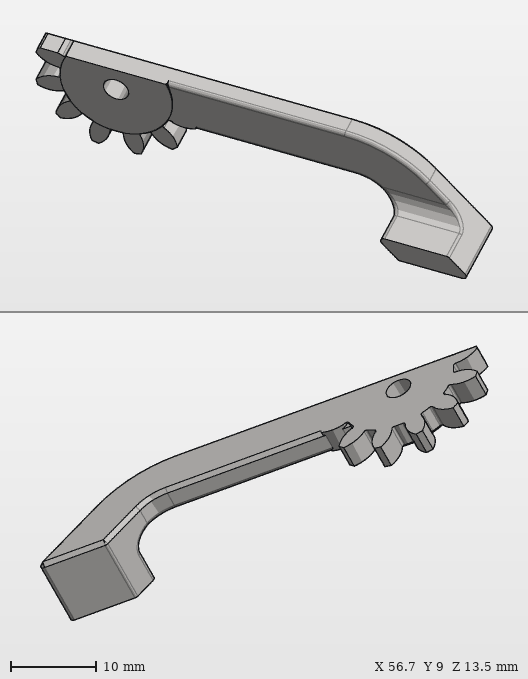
import cadquery as cq
import math

hub_radius = 7.1
hub_thickness = 3.2
hole_diameter = 3.2

root_radius = 7.15
tip_radius = 10.45
tooth_pitch = 30.0
first_tooth_angle = 165.0
tooth_count = 7
root_half_width = 1.0
middle_half_width = 1.165
tip_half_width = 0.425
middle_radius = 8.75
tooth_overlap = 0.35
root_fillet = 0.3

arm_half_height = 3.25
arm_thickness = 3.0
bend_angle = math.radians(45)
outer_bend_radius = 15.0
inner_bend_radius = 5.0
inner_bend_start = 30.15
tip_x = 46.5
bottom_z = -9.0

lug_reach = 9.0
lug_thickness = 3.0
lug_fillet = 2.0
lug_top_z = bottom_z + lug_thickness

edge_fillet = 0.5
back_chamfer = 0.5

select_margin = 0.05

tip_setback = edge_fillet * (1 / math.tan(bend_angle / 2) - 1)
sharp_tip_x = tip_x + tip_setback


def bend_point(start_x, start_z, radius, angle):
    """Point on an arc that leaves the level arm and turns downward by angle."""
    return (start_x + radius * math.sin(angle), start_z - radius * (1 - math.cos(angle)))


def slope_x(point, z):
    """X where the sloping line through point reaches height z."""
    return point[0] + (point[1] - z) / math.tan(bend_angle)


def arm_outline():
    slope_run = (arm_half_height - bottom_z) / math.tan(bend_angle)
    bend_tangent = outer_bend_radius * math.tan(bend_angle / 2)
    outer_start = sharp_tip_x - slope_run - bend_tangent
    top, bottom = arm_half_height, -arm_half_height
    outer_end = bend_point(outer_start, top, outer_bend_radius, bend_angle)
    outer_mid = bend_point(outer_start, top, outer_bend_radius, bend_angle / 2)
    inner_end = bend_point(inner_bend_start, bottom, inner_bend_radius, bend_angle)
    inner_mid = bend_point(inner_bend_start, bottom, inner_bend_radius, bend_angle / 2)
    return (
        cq.Workplane("XZ")
        .moveTo(0, top)
        .lineTo(outer_start, top)
        .threePointArc(outer_mid, outer_end)
        .lineTo(sharp_tip_x, bottom_z)
        .lineTo(slope_x(inner_end, bottom_z), bottom_z)
        .lineTo(*inner_end)
        .threePointArc(inner_mid, (inner_bend_start, bottom))
        .lineTo(0, bottom)
        .close()
    )


def box_between(low, high):
    size = [b - a for a, b in zip(low, high)]
    return cq.Workplane("XY").box(*size, centered=False).translate(low)


def make_arm():
    body = arm_outline().extrude(lug_reach)
    clearance = box_between(
        (0, -lug_reach, lug_top_z), (sharp_tip_x, -arm_thickness, arm_half_height)
    )
    body = body.cut(clearance)
    body = body.edges("|Y").edges("<Z or >X").fillet(edge_fillet)
    inside_corner = cq.selectors.NearestToPointSelector(
        (sharp_tip_x - lug_reach, -arm_thickness, lug_top_z)
    )
    body = body.edges("|X").edges(inside_corner).fillet(lug_fillet)
    front_edges = body.edges("|X").edges(
        cq.selectors.BoxSelector(
            (0, -arm_thickness - select_margin, -arm_half_height - select_margin),
            (sharp_tip_x, -arm_thickness + select_margin, arm_half_height + select_margin),
        )
    )
    body = front_edges.fillet(edge_fillet)
    return body.faces(">Y").edges("|X").edges(">Z").chamfer(back_chamfer)


def make_tooth(angle):
    base_radius = root_radius - tooth_overlap
    foot_radius = math.sqrt(root_radius**2 - root_half_width**2)
    tooth = (
        cq.Workplane("XZ")
        .moveTo(base_radius, -root_half_width)
        .lineTo(foot_radius, -root_half_width)
        .threePointArc((middle_radius, -middle_half_width), (tip_radius, -tip_half_width))
        .lineTo(tip_radius, tip_half_width)
        .threePointArc((middle_radius, middle_half_width), (foot_radius, root_half_width))
        .lineTo(base_radius, root_half_width)
        .close()
        .extrude(arm_thickness)
    )
    return tooth.rotate((0, 0, 0), (0, 1, 0), -angle)


def is_tooth_foot(edge):
    center = edge.Center()
    distance = math.hypot(center.x, center.z)
    return root_radius - select_margin < distance < middle_radius


def make_gear():
    gear = cq.Workplane("XZ").circle(root_radius).extrude(arm_thickness)
    for index in range(tooth_count):
        gear = gear.union(make_tooth(first_tooth_angle + index * tooth_pitch))
    gear = gear.edges("|Y").filter(is_tooth_foot).fillet(root_fillet)
    gear = gear.union(cq.Workplane("XZ").circle(hub_radius).extrude(hub_thickness))
    keep = box_between(
        (-tip_radius, -hub_thickness, -tip_radius), (tip_radius, 0, arm_half_height)
    )
    keep = keep.edges(">Y and >Z").chamfer(back_chamfer)
    return gear.intersect(keep)


result = make_arm().union(make_gear())
result = result.cut(cq.Workplane("XZ").circle(hole_diameter / 2).extrude(hub_thickness))